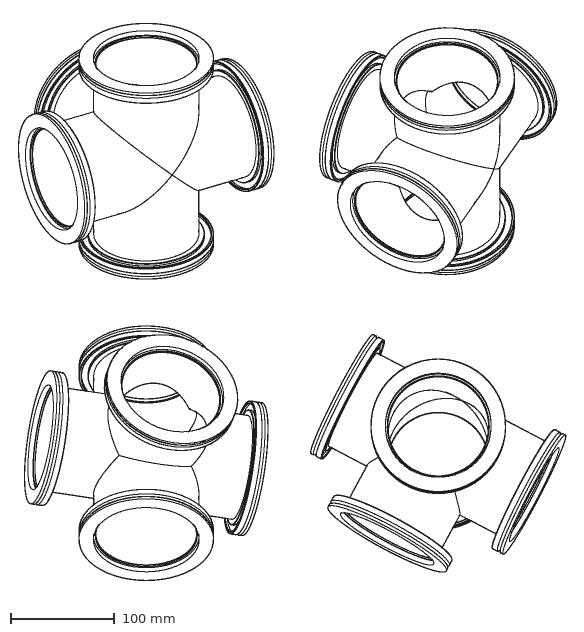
import cadquery as cq

port_reach = 105.0

tube_diameter = 101.6
tube_bore = 97.0

flange_diameter = 130.0
flange_thickness = 12.0

socket_diameter = 102.1
lip_diameter = 98.55
socket_depth = 5.0
lip_thickness = 1.5

rim_groove_offset = 3.0
rim_groove_width = 3.0
rim_groove_depth = rim_groove_width / 2

clamp_groove_inner_diameter = 112.5
clamp_groove_outer_diameter = 125.0
clamp_groove_depth = 2.5
clamp_edge_chamfer = 0.5

back_edge_chamfer = 0.5

port_directions = [(-1, 0, 0), (0, -1, 0), (0, 1, 0), (0, 0, -1), (0, 0, 1)]


def port_plane(direction):
    """Plane at the cross centre whose normal points out through a port."""
    side = (0, 0, 1) if direction[2] == 0 else (1, 0, 0)
    return cq.Plane(origin=(0, 0, 0), xDir=side, normal=direction)


def mitre_cutter(direction, neighbour):
    """Block that removes everything nearer to the neighbouring port than to this one."""
    size = 4 * port_reach
    normal = tuple(n - d for n, d in zip(neighbour, direction))
    side = tuple(n + d for n, d in zip(neighbour, direction))
    plane = cq.Plane(origin=(0, 0, 0), xDir=side, normal=normal)
    return cq.Workplane(plane).rect(size, size).extrude(size)


def make_tube(direction):
    """Tube from its port to the mitres where it meets the neighbouring tubes."""
    tube_end = port_reach - socket_depth - lip_thickness
    tube = (
        cq.Workplane(port_plane(direction))
        .circle(tube_diameter / 2)
        .circle(tube_bore / 2)
        .extrude(tube_end)
    )
    opposite = tuple(-d for d in direction)
    for other in port_directions:
        if other not in (direction, opposite):
            tube = tube.cut(mitre_cutter(direction, other))
    return tube.solids()


def make_flange(direction):
    """Flange ring, revolved about the port axis."""
    rim = flange_diameter / 2
    socket = socket_diameter / 2
    tube_seat = tube_diameter / 2
    lip = lip_diameter / 2
    back = port_reach - flange_thickness
    lip_front = port_reach - socket_depth
    lip_back = lip_front - lip_thickness
    groove_front = port_reach - rim_groove_offset
    groove_back = groove_front - rim_groove_width
    groove_middle = (groove_front + groove_back) / 2
    clamp_inner = clamp_groove_inner_diameter / 2
    clamp_outer = clamp_groove_outer_diameter / 2
    clamp_floor = back + clamp_groove_depth
    profile = (
        cq.Workplane("XZ")
        .moveTo(socket, port_reach)
        .lineTo(rim, port_reach)
        .lineTo(rim, groove_front)
        .threePointArc((rim - rim_groove_depth, groove_middle), (rim, groove_back))
        .lineTo(rim, back + back_edge_chamfer)
        .lineTo(rim - back_edge_chamfer, back)
        .lineTo(clamp_outer + clamp_edge_chamfer, back)
        .lineTo(clamp_outer, back + clamp_edge_chamfer)
        .lineTo(clamp_outer, clamp_floor)
        .lineTo(clamp_inner, clamp_floor)
        .lineTo(clamp_inner, back + clamp_edge_chamfer)
        .lineTo(clamp_inner - clamp_edge_chamfer, back)
        .lineTo(tube_seat, back)
        .lineTo(tube_seat, lip_back)
        .lineTo(lip, lip_back)
        .lineTo(lip, lip_front)
        .lineTo(socket, lip_front)
        .close()
    )
    ring = profile.revolve(360, (0, 0, 0), (0, 1, 0)).val()
    return cq.Workplane(ring.moved(cq.Location(port_plane(direction))))


tubes = [make_tube(direction) for direction in port_directions]
flanges = [make_flange(direction) for direction in port_directions]

result = cq.Compound.makeCompound([body.val() for body in tubes + flanges])